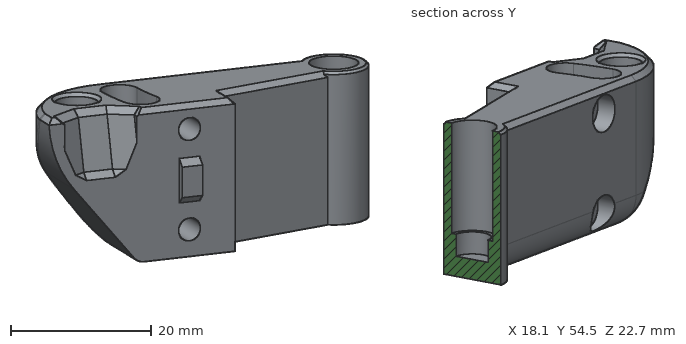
import cadquery as cq
import math

height = 22.65
overall_length = 54.5

barrel_radius = 5.0
barrel_chamfer = 0.4
barrel_bore_diameter = 7.1
barrel_bore_depth = 16.35
pin_diameter = 5.5
pin_depth = 19.6

outer_x = -3.5
inner_x = 12.0
tip_y = barrel_radius - overall_length
neck_start = (3.65, 0)
neck_end = (7.75, -20.55)
nose_radius = 14.1
nose_start_y = -35.55
top_chamfer = 0.8
bottom_fillet = 5.0

slope_angle = 50.4
slope_start_y = -35.65
slope_arc_start_z = 12.0
slope_edge_fillet = 2.0

screw_y = -27.6
screw_heights = (4.05, 18.9)
screw_diameter = 3.4
head_diameter = 5.5
head_depth = 3.0

tab_reach = 1.05
tab_width = 3.15
tab_bottom = 8.1
tab_top = 14.7

slot_radius = 33.9
slot_width = 5.5
slot_depth = 3.0
slot_ends = (-87.9, -77.9)
magnet_x = 3.25
magnet_y = -41.4
magnet_diameter = 6.1
magnet_depth = 3.25
magnet_rim_diameter = 7.1
countersink_taper = 0.999

notch_y = -41.4
notch_mouth_x = 11.0
notch_floor_x = 9.05
notch_mouth_half = 5.6
notch_floor_half = 2.25
notch_rim = 1.05
notch_floor_spread = 0.25
notch_mouth_shift = 0.5
notch_lean = 1.95
notch_lean_drop = 7.65
notch_exit_drop = 1.0
notch_outer_x = 16.35


def polar(radius, angle):
    """Point on a circle about the barrel axis."""
    turn = math.radians(angle)
    return radius * math.cos(turn), radius * math.sin(turn)


def cylinder(x, y, bottom, top, diameter):
    return cq.Workplane("XY", origin=(x, y, bottom)).circle(diameter / 2).extrude(top - bottom)


def arm():
    """Arm with rounded nose, sloping underside and softened edges."""
    centre_x = outer_x + nose_radius
    half = nose_radius * math.sqrt(0.5)
    outline = (
        cq.Workplane("XY")
        .moveTo(outer_x, 0)
        .lineTo(outer_x, nose_start_y)
        .threePointArc((centre_x - half, nose_start_y - half), (centre_x, nose_start_y - nose_radius))
        .lineTo(inner_x, nose_start_y - nose_radius)
        .lineTo(inner_x, neck_end[1])
        .lineTo(*neck_end)
        .lineTo(*neck_start)
        .close()
        .extrude(height)
        .edges(cq.NearestToPointSelector((outer_x, nose_start_y / 2, 0)))
        .fillet(bottom_fillet)
    )

    slope = math.radians(slope_angle)
    arc_radius = (height - slope_arc_start_z) / math.cos(slope)
    arc_centre_y = tip_y + math.sqrt(arc_radius**2 - top_chamfer**2)
    middle = (slope + math.pi / 2) / 2
    profile = (
        cq.Workplane("YZ", origin=(outer_x, 0, 0))
        .moveTo(0, 0)
        .lineTo(slope_start_y, 0)
        .lineTo(arc_centre_y - arc_radius * math.sin(slope), slope_arc_start_z)
        .threePointArc(
            (arc_centre_y - arc_radius * math.sin(middle), height - arc_radius * math.cos(middle)),
            (arc_centre_y - arc_radius, height),
        )
        .lineTo(0, height)
        .close()
        .extrude(inner_x - outer_x)
    )

    body = outline.intersect(profile)
    body = body.edges(cq.NearestToPointSelector((neck_end[0], slope_start_y, 0))).fillet(slope_edge_fillet)
    return body.faces(">Z").edges("not >Y").chamfer(top_chamfer)


def barrel():
    return cylinder(0, 0, 0, height, 2 * barrel_radius).faces(">Z").edges().chamfer(barrel_chamfer)


def barrel_bores():
    wide = cylinder(0, 0, height - barrel_bore_depth, height, barrel_bore_diameter)
    return wide.union(cylinder(0, 0, height - pin_depth, height, pin_diameter))


def tab():
    """Tab with its lower and upper ends bevelled at 45 degrees."""
    return (
        cq.Workplane("XZ", origin=(0, screw_y + tab_width / 2, 0))
        .moveTo(inner_x, tab_bottom)
        .lineTo(inner_x + tab_reach, tab_bottom + tab_reach)
        .lineTo(inner_x + tab_reach, tab_top - tab_reach)
        .lineTo(inner_x, tab_top)
        .close()
        .extrude(tab_width)
    )


def screw_hole(z):
    start = cq.Workplane("YZ", origin=(outer_x, screw_y, z))
    shank = start.circle(screw_diameter / 2).extrude(inner_x - outer_x)
    return shank.union(start.circle(head_diameter / 2).extrude(head_depth))


def curved_slot():
    """Round-ended slot that follows a circle about the barrel axis."""
    inner = slot_radius - slot_width / 2
    outer = slot_radius + slot_width / 2
    first, last = slot_ends
    middle = (first + last) / 2
    floor = height - slot_depth
    slot = (
        cq.Workplane("XY", origin=(0, 0, floor))
        .moveTo(*polar(inner, first))
        .threePointArc(polar(inner, middle), polar(inner, last))
        .lineTo(*polar(outer, last))
        .threePointArc(polar(outer, middle), polar(outer, first))
        .close()
        .extrude(slot_depth)
    )
    for angle in slot_ends:
        slot = slot.union(cylinder(*polar(slot_radius, angle), floor, height, slot_width))
    return slot


def magnet_pocket():
    rim = (magnet_rim_diameter - magnet_diameter) / 2
    pocket = cylinder(magnet_x, magnet_y, height - magnet_depth, height, magnet_diameter)
    countersink = cylinder(magnet_x, magnet_y, height - rim, height, magnet_rim_diameter)
    return pocket.union(countersink.faces("<Z").edges().chamfer(rim * countersink_taper))


def notch_layer(bottom, top, bottom_shift, top_shift, top_grow=0):
    """Slice of the notch between two heights, leaning outward as it goes down."""
    def section(z, shift, grow):
        mouth = notch_mouth_half + grow
        floor = notch_floor_half + grow * notch_floor_spread
        points = [
            (notch_outer_x, -mouth),
            (notch_mouth_x + shift - grow * notch_mouth_shift, -mouth),
            (notch_floor_x + shift - grow, -floor),
            (notch_floor_x + shift - grow, floor),
            (notch_mouth_x + shift - grow * notch_mouth_shift, mouth),
            (notch_outer_x, mouth),
        ]
        return cq.Wire.makePolygon([cq.Vector(x, notch_y + y, z) for x, y in points], close=True)

    lower = section(bottom, bottom_shift, 0)
    upper = section(top, top_shift, top_grow)
    return cq.Workplane(cq.Solid.makeLoft([lower, upper], True))


def notch():
    rim_z = height - notch_rim
    lean_z = rim_z - notch_lean_drop
    rim = notch_layer(rim_z, height, 0, 0, notch_rim)
    wall = notch_layer(lean_z, rim_z, notch_lean, 0)
    run_out = notch_layer(lean_z - notch_exit_drop, lean_z, notch_lean + notch_exit_drop, notch_lean)
    return rim.union(wall).union(run_out)


result = arm().union(barrel()).union(tab())
result = result.cut(barrel_bores())
for screw_z in screw_heights:
    result = result.cut(screw_hole(screw_z))
result = result.cut(curved_slot()).cut(magnet_pocket()).cut(notch())